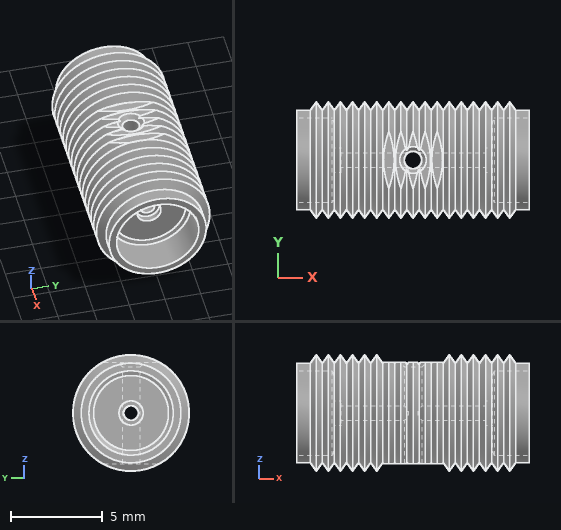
import cadquery as cq

LENGTH = 12.7
CREST_RADIUS = 3.18
COLLAR_LENGTH = 0.75
COLLAR_RADIUS = 2.72

RIDGE_COUNT = 17
RIDGE_PITCH = (LENGTH - 2 * COLLAR_LENGTH) / RIDGE_COUNT

FLAT_RIDGE_COUNT = 5
FLAT_LENGTH = FLAT_RIDGE_COUNT * RIDGE_PITCH
FLAT_HEIGHT = 2.77

POCKET_RADIUS = 2.3
FLOOR_RADIUS = 2.05
POCKET_DEPTH = 2.03
FLOOR_BEVEL_DEPTH = 0.1

AXIAL_HOLE_RADIUS = 0.4
COUNTERBORE_RADIUS = 0.66
COUNTERBORE_DEPTH = 0.38

CROSS_HOLE_RADIUS = 0.47
COUNTERSINK_RADIUS = 0.72
COUNTERSINK_DEPTH = COUNTERSINK_RADIUS - CROSS_HOLE_RADIUS


def ridged_body():
    """Collared bar with ring ridges, revolved about X."""
    half = LENGTH / 2
    first_root = COLLAR_LENGTH - half
    profile = cq.Workplane("XY").moveTo(-half, 0).lineTo(-half, COLLAR_RADIUS)
    profile = profile.lineTo(first_root, COLLAR_RADIUS)
    for ridge in range(RIDGE_COUNT):
        root = first_root + ridge * RIDGE_PITCH
        profile = profile.lineTo(root + RIDGE_PITCH / 2, CREST_RADIUS)
        profile = profile.lineTo(root + RIDGE_PITCH, COLLAR_RADIUS)
    profile = profile.lineTo(half, COLLAR_RADIUS).lineTo(half, 0).close()
    return profile.revolve(360, (0, 0, 0), (1, 0, 0))


def flat_cutters():
    """Blocks that remove the crests above and below the middle."""
    thickness = CREST_RADIUS - FLAT_HEIGHT
    block = cq.Workplane("XY").box(FLAT_LENGTH, 2 * CREST_RADIUS, thickness)
    offset = FLAT_HEIGHT + thickness / 2
    return block.translate((0, 0, offset)).union(block.translate((0, 0, -offset)))


def end_pocket():
    """Pocket in the -X end, with its bevelled floor and counterbore."""
    mouth = -LENGTH / 2
    floor = mouth + POCKET_DEPTH
    counterbore_floor = floor + COUNTERBORE_DEPTH
    outline = [
        (mouth, 0),
        (mouth, POCKET_RADIUS),
        (floor - FLOOR_BEVEL_DEPTH, POCKET_RADIUS),
        (floor, FLOOR_RADIUS),
        (floor, COUNTERBORE_RADIUS),
        (counterbore_floor, COUNTERBORE_RADIUS),
        (counterbore_floor, 0),
    ]
    return cq.Workplane("XY").polyline(outline).close().revolve(360, (0, 0, 0), (1, 0, 0))


def axial_hole():
    return cq.Workplane("YZ").circle(AXIAL_HOLE_RADIUS).extrude(LENGTH / 2, both=True)


def cross_hole():
    """Hole through along Z, with a countersink in the top flat."""
    hole = cq.Workplane("XY").circle(CROSS_HOLE_RADIUS).extrude(CREST_RADIUS, both=True)
    countersink = (
        cq.Workplane("XY")
        .workplane(offset=FLAT_HEIGHT - COUNTERSINK_DEPTH)
        .circle(CROSS_HOLE_RADIUS)
        .workplane(offset=COUNTERSINK_DEPTH)
        .circle(COUNTERSINK_RADIUS)
        .loft(ruled=True)
    )
    return hole.union(countersink)


pocket = end_pocket()
result = (
    ridged_body()
    .cut(flat_cutters())
    .cut(pocket)
    .cut(pocket.mirror("YZ"))
    .cut(axial_hole())
    .cut(cross_hole())
)